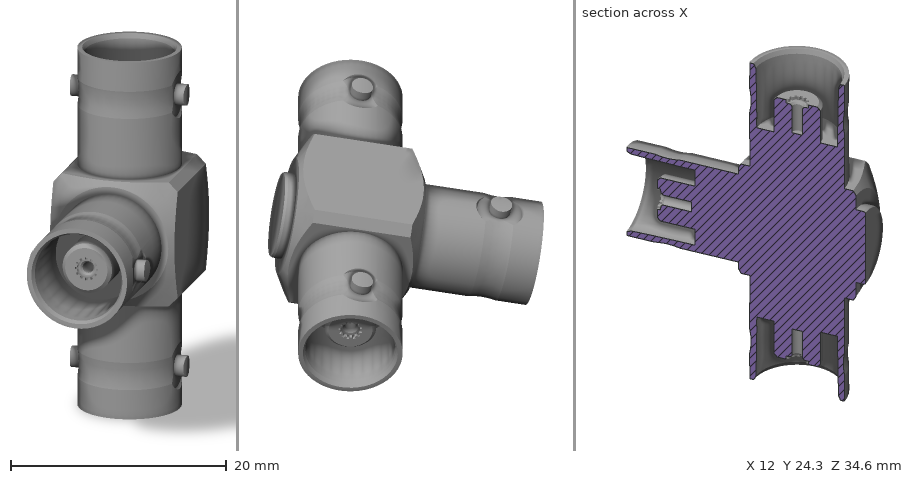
import cadquery as cq
import math


block_width = 12.0
block_half = block_width / 2
block_edge_chamfer = 0.85
face_circle_radius = 5.5
face_cone_angle = 30

cap_radius = 4.0
cap_height = 0.97
cap_chamfer_radial = 0.1
cap_chamfer_axial = 0.25

socket_reach = 17.3
socket_turns = (0, 90, 180)
barrel_radius = 4.85

stud_z = socket_reach - 4.15
stud_radius = 1.0
stud_tip_radius = 5.57
seat_distance = 4.55
seat_radius = 2.1
seat_rim_angle = 25

groove_half_width = 1.3
groove_sink = 0.15

mouth_radius = 4.4
mouth_chamfer_depth = 0.45
bore_top_radius = 4.2
bore_floor_radius = 4.1
bore_floor_z = socket_reach - 6.92

insulator_radius = 2.4
insulator_chamfer = 0.35
insulator_top_z = socket_reach - 3.08

recess_radius = 0.9
recess_depth = 0.35
notch_count = 12
notch_reach = 1.1
notch_width = 0.25

dish_drop = 0.05
contact_chamfer_radius = 0.7
contact_hole_radius = 0.52
contact_chamfer_depth = 0.2
contact_hole_depth = 3.45

overlap = 0.35


def turned(points):
    """Solid of revolution about Z from (radius, height) points."""
    return cq.Workplane("XZ").polyline(points).close().revolve(360, (0, 0, 0), (0, 1, 0))


def turn_about_x(body, angle):
    return body.rotate((0, 0, 0), (1, 0, 0), angle)


def make_block():
    """Cube with its Y edges chamfered and its front and back corners turned to a cone."""
    block = cq.Workplane("XY").box(block_width, block_width, block_width)
    block = block.edges("|Y").chamfer(block_edge_chamfer)
    waist_radius = face_circle_radius + block_half / math.tan(math.radians(face_cone_angle))
    double_cone = turned([
        (0, -block_half),
        (face_circle_radius, -block_half),
        (waist_radius, 0),
        (face_circle_radius, block_half),
        (0, block_half),
    ])
    return block.intersect(turn_about_x(double_cone, 90))


def make_cap():
    """Chamfered disc on the back face."""
    cap_top = block_half + cap_height
    cap = turned([
        (0, block_half - overlap),
        (cap_radius, block_half - overlap),
        (cap_radius, cap_top - cap_chamfer_axial),
        (cap_radius - cap_chamfer_radial, cap_top),
        (0, cap_top),
    ])
    return turn_about_x(cap, -90)


def make_barrel():
    """Solid barrel with the groove around it."""
    return (
        cq.Workplane("XZ")
        .moveTo(0, block_half - overlap)
        .lineTo(barrel_radius, block_half - overlap)
        .lineTo(barrel_radius, stud_z - groove_half_width)
        .threePointArc(
            (barrel_radius - groove_sink, stud_z),
            (barrel_radius, stud_z + groove_half_width),
        )
        .lineTo(barrel_radius, socket_reach)
        .lineTo(0, socket_reach)
        .close()
        .revolve(360, (0, 0, 0), (0, 1, 0))
    )


def make_seat_cutter():
    """Tapered cutter that leaves the flat seat on the +X side."""
    cutter_height = barrel_radius - seat_distance + overlap
    return (
        cq.Workplane("YZ", origin=(seat_distance, 0, stud_z))
        .circle(seat_radius)
        .extrude(cutter_height, taper=-seat_rim_angle)
    )


def make_studs():
    """One rod through the barrel along X, its ends rounded about the socket axis."""
    rod = (
        cq.Workplane("YZ", origin=(0, 0, stud_z))
        .circle(stud_radius)
        .extrude(stud_tip_radius + overlap, both=True)
    )
    tip_limit = cq.Workplane("XY").circle(stud_tip_radius).extrude(socket_reach)
    return rod.intersect(tip_limit)


def make_bore():
    return turned([
        (0, socket_reach),
        (mouth_radius, socket_reach),
        (bore_top_radius, socket_reach - mouth_chamfer_depth),
        (bore_floor_radius, bore_floor_z),
        (0, bore_floor_z),
    ])


def make_insulator():
    """Insulator with its notched recess and the contact inside it."""
    recess_z = insulator_top_z - recess_depth
    chamfer_z = recess_z - dish_drop
    hole_floor_z = insulator_top_z - contact_hole_depth
    insulator = turned([
        (0, bore_floor_z - overlap),
        (insulator_radius, bore_floor_z - overlap),
        (insulator_radius, insulator_top_z - insulator_chamfer),
        (insulator_radius - insulator_chamfer, insulator_top_z),
        (recess_radius, insulator_top_z),
        (recess_radius, recess_z),
        (contact_chamfer_radius, chamfer_z),
        (contact_hole_radius, chamfer_z - contact_chamfer_depth),
        (contact_hole_radius, hole_floor_z),
        (0, hole_floor_z),
    ])
    notch_start = contact_chamfer_radius
    notches = (
        cq.Workplane("XY", origin=(0, 0, recess_z))
        .polarArray((notch_start + notch_reach) / 2, 0, 360, notch_count)
        .rect(notch_reach - notch_start, notch_width)
        .extrude(recess_depth)
    )
    return insulator.cut(notches)


def make_socket():
    seat_cutter = make_seat_cutter()
    socket = make_barrel().cut(seat_cutter).cut(seat_cutter.mirror("YZ"))
    socket = socket.union(make_studs())
    return socket.cut(make_bore()).union(make_insulator())


socket = make_socket()
result = make_block().union(make_cap())
for angle in socket_turns:
    result = result.union(turn_about_x(socket, angle))